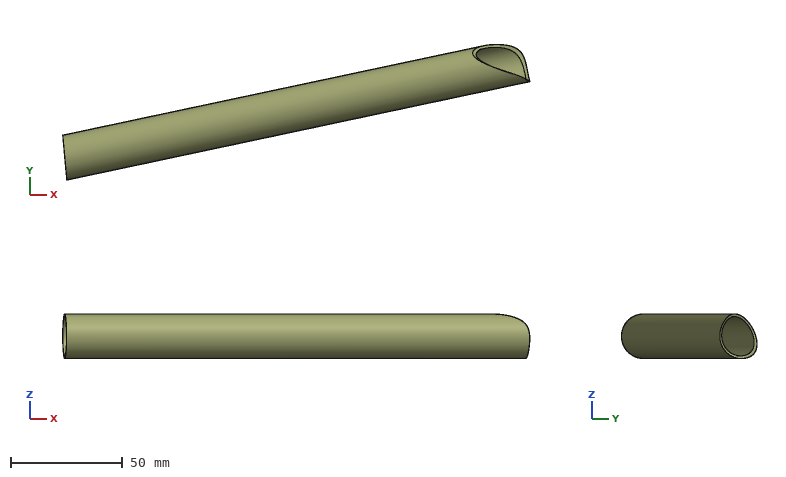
import cadquery as cq
import math

outer_diameter = 20.0
wall = 1.3
tube_heading = 12.0
flat_end_skew = 6.8
joint_distance = 218.4
notch_diameter = 25.5
notch_heading = 146.2
notch_rise = 26.4

outer_radius = outer_diameter / 2
inner_radius = outer_radius - wall
notch_length = 6 * notch_diameter
end_allowance = outer_diameter


def make_tube():
    """Plain tube along +X, ending where its axis meets the notch axis."""
    section = cq.Workplane("YZ").workplane(offset=-end_allowance)
    section = section.circle(outer_radius).circle(inner_radius)
    return section.extrude(joint_distance + end_allowance)


def make_flat_end_cutter():
    """Block whose skewed face trims the near end through the origin."""
    size = 4 * outer_diameter
    block = cq.Workplane("XY").box(size, size, size).translate((-size / 2, 0, 0))
    return block.rotate((0, 0, 0), (0, 0, 1), -flat_end_skew)


def make_notch_cutter():
    """Slanted cylinder that copes the far end to fit against a round tube."""
    heading = math.radians(notch_heading)
    rise = math.radians(notch_rise)
    axis = cq.Vector(
        math.cos(rise) * math.cos(heading),
        math.cos(rise) * math.sin(heading),
        math.sin(rise),
    )
    start = cq.Vector(joint_distance, 0, 0) - axis * (notch_length / 2)
    return cq.Workplane(cq.Solid.makeCylinder(notch_diameter / 2, notch_length, start, axis))


tube = make_tube().cut(make_flat_end_cutter()).cut(make_notch_cutter())
result = tube.rotate((0, 0, 0), (0, 0, 1), tube_heading)